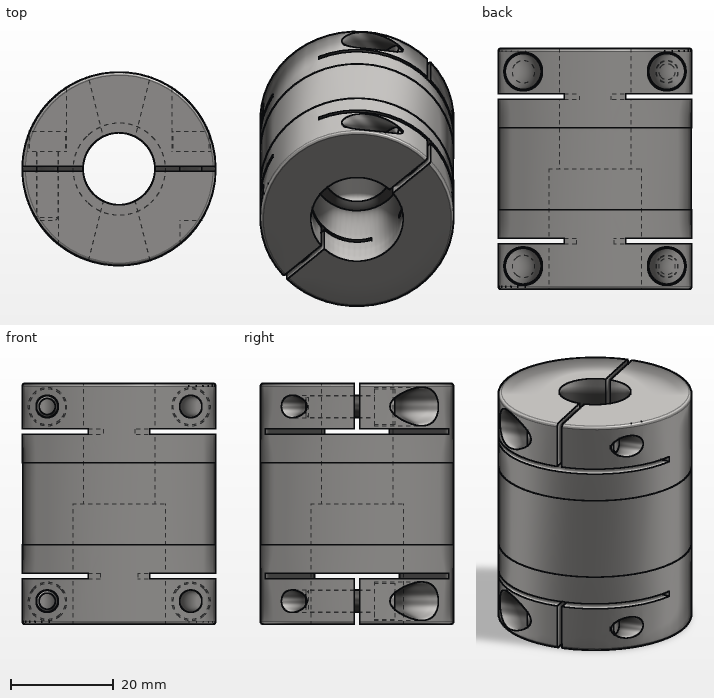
import cadquery as cq

length = 47.0
hub_diameter = 37.8
sleeve_diameter = 37.7
sleeve_length = 16.0
rim_round = 0.55

upper_bore_diameter = 14.0
lower_bore_diameter = 18.0

slit_width = 1.0
slot_depth = 8.9
slot_width = 1.05

web_outer_half_width = 6.0
web_inner_half_width = 3.1
web_inner_offset = 6.2

screw_offset = 14.0
screw_end_distance = 4.5
screw_hole_diameter = 4.35
loose_shank_diameter = 4.2
head_recess_diameter = 7.5
head_diameter = 7.0
head_height = 4.0
head_top_y = 7.4
tip_y = -10.0
tip_chamfer = 0.5

hub_radius = hub_diameter / 2
half_length = length / 2
reach = hub_diameter


def make_body():
    """Hub cylinder with rounded rims, a slightly slimmer sleeve and stepped bore."""
    body = cq.Workplane("XY").workplane(offset=-half_length).circle(hub_radius).extrude(length)
    body = body.faces("|Z").edges().fillet(rim_round)
    sleeve_relief = (
        cq.Workplane("XY")
        .workplane(offset=-sleeve_length / 2)
        .circle(reach)
        .circle(sleeve_diameter / 2)
        .extrude(sleeve_length)
    )
    upper_bore = cq.Workplane("XY").circle(upper_bore_diameter / 2).extrude(half_length)
    lower_bore = cq.Workplane("XY").circle(lower_bore_diameter / 2).extrude(-half_length)
    return body.cut(sleeve_relief).cut(upper_bore).cut(lower_bore)


def make_slot(bottom_z):
    """Disc-shaped cut that leaves one tapered web on the +Y side and one on -Y."""
    slot = cq.Workplane("XY").workplane(offset=bottom_z).circle(reach).extrude(slot_width)
    web_edge_y = (hub_radius**2 - web_outer_half_width**2) ** 0.5
    for side in (1, -1):
        web = (
            cq.Workplane("XY")
            .workplane(offset=bottom_z)
            .moveTo(-web_inner_half_width, side * web_inner_offset)
            .lineTo(-web_outer_half_width, side * web_edge_y)
            .lineTo(-web_outer_half_width, side * reach)
            .lineTo(web_outer_half_width, side * reach)
            .lineTo(web_outer_half_width, side * web_edge_y)
            .lineTo(web_inner_half_width, side * web_inner_offset)
            .close()
            .extrude(slot_width)
        )
        slot = slot.cut(web)
    return slot


def cylinder_along_y(diameter, start_y, end_y, x, z):
    """Round bar from start_y to end_y, with end_y on the +Y side."""
    base = cq.Workplane("XZ", origin=(x, end_y, z))
    return base.circle(diameter / 2).extrude(end_y - start_y)


def cut_clamp(body, end):
    """Cut the slit and slot of the upper (end = 1) or lower (end = -1) hub."""
    slit_height = slot_depth + slot_width
    slit = cq.Workplane("XY").box(reach, slit_width, slit_height)
    slit = slit.translate((0, 0, end * (half_length - slit_height / 2)))
    slot_middle = end * (half_length - slot_depth - slot_width / 2)
    return body.cut(slit).cut(make_slot(slot_middle - slot_width / 2))


def fit_screw(body, x, end, shank_diameter, chamfer):
    """Cut the screw hole and head recess, then seat a screw headed on the +Y side."""
    z = end * (half_length - screw_end_distance)
    seat_y = head_top_y - head_height
    hole = cylinder_along_y(screw_hole_diameter, -reach, seat_y, x, z)
    recess = cylinder_along_y(head_recess_diameter, seat_y, reach, x, z)
    shank = cylinder_along_y(shank_diameter, tip_y, seat_y, x, z)
    if chamfer > 0:
        shank = shank.faces("<Y").chamfer(chamfer)
    head = cylinder_along_y(head_diameter, seat_y, head_top_y, x, z)
    return body.cut(hole).cut(recess).union(shank).union(head)


result = make_body()
for hub_end in (1, -1):
    result = cut_clamp(result, hub_end)
    result = fit_screw(result, -screw_offset, hub_end, loose_shank_diameter, tip_chamfer)
    result = fit_screw(result, screw_offset, hub_end, screw_hole_diameter, 0)